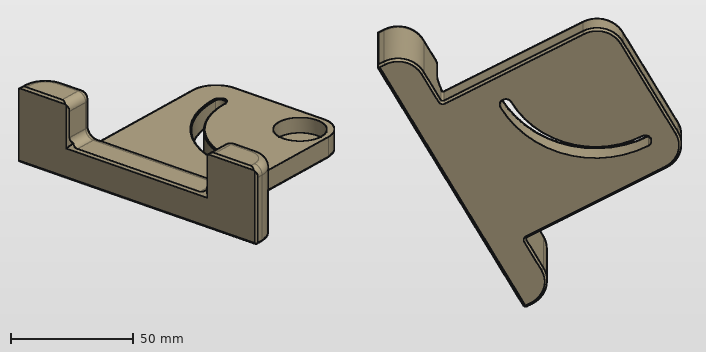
import cadquery as cq
import math

bar_length = 125.3
bar_depth = 15.5
bar_height = 35.0
part_depth = 93.5
plate_width = 70.6
plate_thickness = 10.0
bar_corner_radius = 12.0
plate_corner_radius = 12.0

notch_width = 72.0
notch_floor = 15.0

edge_round = 4.0
edge_chamfer = 1.0
joint_round = 0.99

pocket_inset = 13.5
pocket_diameter = 22.0
pocket_depth = 7.0
slot_radius = 42.0
slot_width = 5.0
slot_chamfer = 0.5

pocket_x = plate_width / 2 - pocket_inset
pocket_y = part_depth - pocket_inset

clearance = 1.0


def box_between(x_half, y_min, y_max, z_min, z_max):
    """Box that is symmetric about X = 0."""
    box = cq.Workplane("XY").box(2 * x_half, y_max - y_min, z_max - z_min, centered=(True, False, False))
    return box.translate((0, y_min, z_min))


def make_bar():
    """Bar with rounded rear corners and a notch, rounded along its rear and top edges."""
    bar = box_between(bar_length / 2, 0, bar_depth, 0, bar_height)
    bar = bar.edges("|Z and >Y").fillet(bar_corner_radius)
    notch = box_between(
        notch_width / 2, -clearance, bar_depth + clearance, notch_floor, bar_height + clearance
    )
    bar = bar.cut(notch)

    near_floor = cq.selectors.BoxSelector(
        (-notch_width, -clearance, notch_floor - clearance),
        (notch_width, bar_depth + clearance, notch_floor + clearance),
    )
    bar = bar.edges("|Y").edges(near_floor).fillet(edge_round)

    top_edges = bar.faces(">Z").edges("not <Y").vals()
    notch_rear = cq.selectors.BoxSelector(
        (-notch_width / 2 - clearance, bar_depth - clearance, notch_floor - clearance),
        (notch_width / 2 + clearance, bar_depth + clearance, bar_height - clearance),
    )
    notch_rear_edges = bar.faces(">Y").edges(notch_rear).vals()
    return bar.newObject(top_edges + notch_rear_edges).fillet(edge_round)


def make_plate():
    """Flat plate with rounded far corners that reaches into the bar."""
    plate = box_between(plate_width / 2, bar_depth / 2, part_depth, 0, plate_thickness)
    return plate.edges("|Z and >Y").fillet(plate_corner_radius)


def join_plate(bar, plate):
    """Unite bar and plate, and blend the corner between them."""
    joint = cq.selectors.BoxSelector(
        (-plate_width / 2 - clearance, bar_depth - joint_round / 2, 0),
        (plate_width / 2 + clearance, bar_depth + joint_round / 2, plate_thickness + joint_round / 2),
    )
    return bar.union(plate).edges(joint).fillet(joint_round)


def bevel_front(body):
    """Bevel the outer front edges, then the front edges of the notch with mitred corners."""
    envelope = box_between(bar_length / 2, 0, part_depth, 0, bar_height)
    envelope = envelope.faces("<Y").edges().chamfer(edge_chamfer)
    body = body.intersect(envelope)

    cutter_depth = edge_chamfer + edge_round / 2
    cutter_height = 2 * (bar_height - notch_floor)
    cutter = (
        cq.Workplane("XZ")
        .center(0, bar_height)
        .rect(notch_width + 2 * edge_chamfer, cutter_height + 2 * edge_chamfer)
        .extrude(-cutter_depth, taper=45)
    )
    return body.cut(cutter)


def slot_point(radius, angle):
    """Point on a circle about the pocket axis; the angle is in degrees from +X."""
    turn = math.radians(angle)
    return (pocket_x + radius * math.cos(turn), pocket_y + radius * math.sin(turn))


def cut_slot(body):
    """Quarter-circle through slot with round ends and a bevelled upper rim."""
    half_width = slot_width / 2
    inner = slot_radius - half_width
    outer = slot_radius + half_width
    left_tip = (pocket_x - slot_radius, pocket_y + half_width)
    right_tip = (pocket_x + half_width, pocket_y - slot_radius)
    slot = (
        cq.Workplane("XY")
        .moveTo(*slot_point(outer, 180))
        .threePointArc(slot_point(outer, 225), slot_point(outer, 270))
        .threePointArc(right_tip, slot_point(inner, 270))
        .threePointArc(slot_point(inner, 225), slot_point(inner, 180))
        .threePointArc(left_tip, slot_point(outer, 180))
        .close()
        .extrude(plate_thickness)
    )
    rim = cq.selectors.BoxSelector(
        (pocket_x - outer - clearance, pocket_y - outer - clearance, plate_thickness - clearance),
        (pocket_x + half_width + clearance, pocket_y + half_width + clearance, plate_thickness + clearance),
    )
    return body.cut(slot).edges(rim).chamfer(slot_chamfer)


def cut_pocket(body):
    """Round blind pocket in the upper face of the plate."""
    pocket = (
        cq.Workplane("XY")
        .workplane(offset=plate_thickness - pocket_depth)
        .center(pocket_x, pocket_y)
        .circle(pocket_diameter / 2)
        .extrude(pocket_depth)
    )
    return body.cut(pocket)


body = join_plate(make_bar(), make_plate())
body = body.faces("<Z").edges().chamfer(edge_chamfer)
body = bevel_front(body)
body = cut_slot(body)
result = cut_pocket(body)